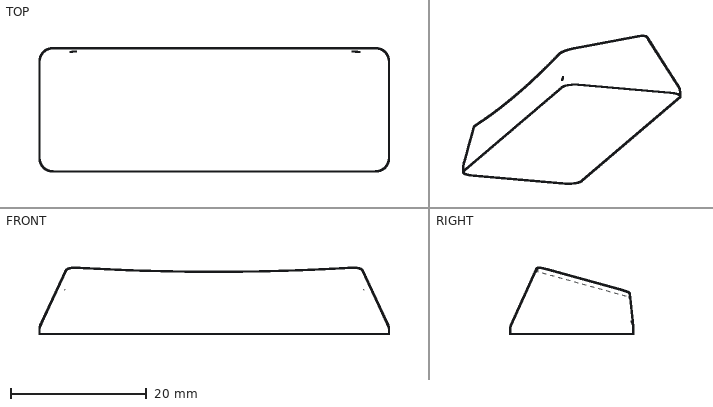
import cadquery as cq
import math

LENGTH = 51.5
DEPTH = 18.2
SKIRT_HEIGHT = 1.05
CORNER_RADIUS = 2.0

CROWN_FRONT = (-4.9, 10.3)
CROWN_BACK = (8.5, 6.6)
CROWN_LENGTH = 43.25
CROWN_CORNER_RADIUS = 1.8

DISH_CHORD = 43.8
DISH_SAG = 0.75
DISH_RIM_DEPTH = 0.35
CUTTER_HEIGHT = 2.6

SKIRT_BLEND_RADIUS = 1.55
TOP_EDGE_RADIUS = 0.4

PICK_MARGIN = 0.05

crown_run = CROWN_BACK[0] - CROWN_FRONT[0]
crown_drop = CROWN_FRONT[1] - CROWN_BACK[1]
crown_depth = math.hypot(crown_run, crown_drop)
crown_middle = (
    0,
    (CROWN_FRONT[0] + CROWN_BACK[0]) / 2,
    (CROWN_FRONT[1] + CROWN_BACK[1]) / 2,
)
crown_plane = cq.Plane(origin=crown_middle, xDir=(1, 0, 0), normal=(0, crown_drop, crown_run))


def rounded_rectangle(plane, length, depth, radius):
    """Sketch of a rounded rectangle centred on the origin of the plane."""
    flat = cq.Sketch().rect(length, depth).vertices().fillet(radius)
    return flat.moved(cq.Location(plane))


def make_skirt():
    """Upright band around the foot."""
    foot = rounded_rectangle(cq.Plane.XY(), LENGTH, DEPTH, CORNER_RADIUS)
    return cq.Workplane("XY").placeSketch(foot).extrude(SKIRT_HEIGHT)


def make_walls():
    """Ruled walls from the top of the skirt to the tilted crown."""
    skirt_plane = cq.Plane(origin=(0, 0, SKIRT_HEIGHT))
    foot = rounded_rectangle(skirt_plane, LENGTH, DEPTH, CORNER_RADIUS)
    crown = rounded_rectangle(crown_plane, CROWN_LENGTH, crown_depth, CROWN_CORNER_RADIUS)
    return cq.Workplane("XY").placeSketch(foot, crown).loft(ruled=True)


def make_dish_cutter():
    """Block over the crown whose underside bulges down as a shallow cylinder."""
    radius = DISH_CHORD ** 2 / (8 * DISH_SAG) + DISH_SAG / 2
    half_length = LENGTH / 2
    bottom = -DISH_RIM_DEPTH - DISH_SAG
    end = bottom + radius - math.sqrt(radius ** 2 - half_length ** 2)
    roof = end + CUTTER_HEIGHT
    section_plane = cq.Plane(origin=crown_middle, xDir=(1, 0, 0), normal=-crown_plane.yDir)
    return (
        cq.Workplane(section_plane)
        .moveTo(-half_length, end)
        .threePointArc((0, bottom), (half_length, end))
        .lineTo(half_length, roof)
        .lineTo(-half_length, roof)
        .close()
        .extrude(DEPTH, both=True)
    )


def blend_skirt(body):
    """Round the edge all around where the walls start to lean inwards."""
    skirt_top = cq.selectors.BoxSelector(
        (-LENGTH, -DEPTH, SKIRT_HEIGHT - PICK_MARGIN),
        (LENGTH, DEPTH, SKIRT_HEIGHT + PICK_MARGIN),
    )
    return body.edges(skirt_top).fillet(SKIRT_BLEND_RADIUS)


def round_dish_rim(body):
    """Round the edge all around the dished top face."""
    dish_face = body.faces(cq.selectors.NearestToPointSelector(crown_middle))
    return dish_face.edges().fillet(TOP_EDGE_RADIUS)


body = make_skirt().union(make_walls())
body = blend_skirt(body)
body = body.cut(make_dish_cutter())
result = round_dish_rim(body)